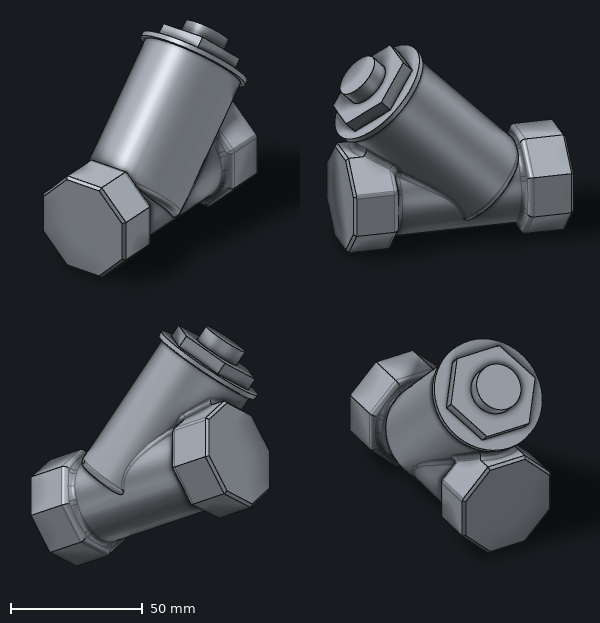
import cadquery as cq
import math

PIPE_DIAMETER = 33.0
PIPE_LENGTH = 87.0
FRONT_Y = -30.31
BACK_Y = FRONT_Y + PIPE_LENGTH

BLOCK_SIDES = 8
BLOCK_ACROSS_FLATS = 39.0
BLOCK_LENGTH = 18.0
BLOCK_CHAMFER = 1.05
FRONT_BLOCK_INNER_Y = FRONT_Y + BLOCK_LENGTH
BACK_BLOCK_INNER_Y = BACK_Y - BLOCK_LENGTH

BRANCH_ANGLE = math.radians(45)
BODY_DIAMETER = 40.0
BODY_END_FILLET = 2.7
FLANGE_DIAMETER = 44
FLANGE_THICKNESS = 2.0
FLANGE_TOP = 59.55
HEX_SIDES = 6
HEX_ACROSS_FLATS = 32.0
HEX_THICKNESS = 5.0
CAP_DIAMETER = 18.0
CAP_HEIGHT = 6.1

CAST_FILLET = 2.0
TOLERANCE = 0.01

BRANCH_DIRECTION = cq.Vector(0, math.cos(BRANCH_ANGLE), math.sin(BRANCH_ANGLE))
BRANCH_PLANE = cq.Plane(origin=(0, 0, 0), xDir=(1, 0, 0), normal=BRANCH_DIRECTION)


def corner_diameter(across_flats, sides):
    """Diameter through the corners of a regular polygon."""
    return across_flats / math.cos(math.pi / sides)


def octagonal_block():
    """Block standing on XY with flats facing the axes; its base becomes the pipe's end face."""
    return (
        cq.Workplane("XY")
        .polygon(BLOCK_SIDES, corner_diameter(BLOCK_ACROSS_FLATS, BLOCK_SIDES))
        .extrude(BLOCK_LENGTH)
        .rotate((0, 0, 0), (0, 0, 1), 180 / BLOCK_SIDES)
        .faces("<Z")
        .chamfer(BLOCK_CHAMFER)
    )


def is_pipe_edge_at(edge, y):
    """True for the circular edge where the pipe enters a block's inner face."""
    return edge.geomType() == "CIRCLE" and abs(edge.Center().y - y) < TOLERANCE


def is_branch_root_edge(edge):
    """True for an edge on the rear of the branch wall where it meets the pipe or the back block."""
    if edge.geomType() in ("LINE", "CIRCLE") or edge.Center().y < 0:
        return False
    point = BRANCH_PLANE.toLocalCoords(edge.positionAt(0.5))
    return abs(math.hypot(point.x, point.y) - BODY_DIAMETER / 2) < TOLERANCE


def pipe_run(start_y, end_y):
    return cq.Workplane("XZ", origin=(0, start_y, 0)).circle(PIPE_DIAMETER / 2).extrude(start_y - end_y)


def branch_cylinder(diameter, bottom, height):
    return cq.Workplane(BRANCH_PLANE).workplane(offset=bottom).circle(diameter / 2).extrude(height)


def front_end():
    """Front block with a short stub of pipe, both sides of its inner face rounded."""
    block = octagonal_block().faces(">Z").edges().fillet(CAST_FILLET)
    block = block.rotate((0, 0, 0), (1, 0, 0), -90).translate((0, FRONT_Y, 0))
    stub = pipe_run(FRONT_BLOCK_INNER_Y - CAST_FILLET, FRONT_BLOCK_INNER_Y + 2 * CAST_FILLET)
    joined = block.union(stub)
    return joined.edges().filter(lambda edge: is_pipe_edge_at(edge, FRONT_BLOCK_INNER_Y)).fillet(CAST_FILLET)


def back_block():
    """Back block; the two side edges nearest the branch are rounded as well as the inner face."""
    block = octagonal_block().rotate((0, 0, 0), (1, 0, 0), 90).translate((0, BACK_Y, 0))
    side_edge_height = BLOCK_ACROSS_FLATS / 2 * math.tan(math.pi / BLOCK_SIDES)
    block = (
        block.edges("|Y")
        .filter(lambda edge: abs(edge.Center().z - side_edge_height) < TOLERANCE)
        .fillet(CAST_FILLET)
    )
    return block.faces("<Y").edges().fillet(CAST_FILLET)


def branch_body():
    body = branch_cylinder(BODY_DIAMETER, 0, FLANGE_TOP - FLANGE_THICKNESS)
    lower_end = cq.selectors.DirectionMinMaxSelector(BRANCH_DIRECTION, False)
    return body.faces(lower_end).edges().fillet(BODY_END_FILLET)


def branch_head():
    """Flange, hexagon and round cap stacked on the branch."""
    flange = branch_cylinder(FLANGE_DIAMETER, FLANGE_TOP - FLANGE_THICKNESS, FLANGE_THICKNESS)
    hexagon = (
        cq.Workplane(BRANCH_PLANE)
        .workplane(offset=FLANGE_TOP)
        .polygon(HEX_SIDES, corner_diameter(HEX_ACROSS_FLATS, HEX_SIDES))
        .extrude(HEX_THICKNESS)
    )
    cap = branch_cylinder(CAP_DIAMETER, FLANGE_TOP + HEX_THICKNESS, CAP_HEIGHT)
    return flange.union(hexagon).union(cap)


def casting():
    """Pipe, back block and branch body, with rounded roots around the rear of the branch."""
    pipe = pipe_run(FRONT_Y + BLOCK_CHAMFER, BACK_Y - BLOCK_CHAMFER)
    rough = pipe.union(back_block()).union(branch_body())
    roots = rough.edges().filter(
        lambda edge: is_branch_root_edge(edge) or is_pipe_edge_at(edge, BACK_BLOCK_INNER_Y)
    )
    rounded = roots.fillet(CAST_FILLET)

    above_end_rounding = (
        cq.Workplane(BRANCH_PLANE)
        .workplane(offset=BODY_END_FILLET)
        .rect(2 * PIPE_LENGTH, 2 * PIPE_LENGTH)
        .extrude(PIPE_LENGTH)
    )
    return rough.union(rounded.intersect(above_end_rounding))


result = casting().union(front_end()).union(branch_head())